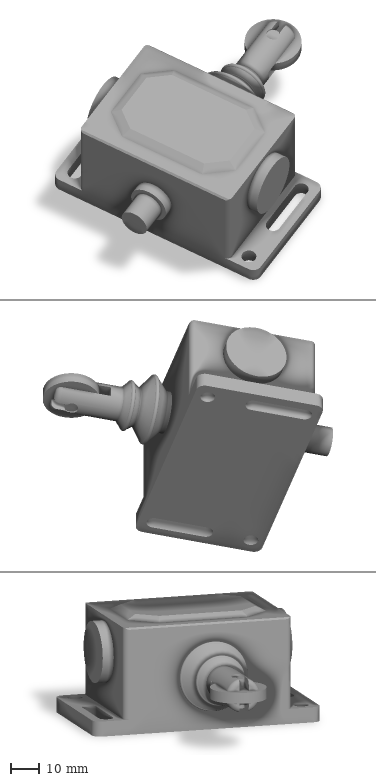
import cadquery as cq
import math


BASE_LENGTH = 84.0
BASE_WIDTH = 46.1
BASE_THICKNESS = 5.4
BASE_CORNER_RADIUS = 3.0
MOUNT_X = 36.0
MOUNT_DIAMETER = 5.2
MOUNT_HOLE_Y = 18.0
MOUNT_SLOT_Y = 7.9
MOUNT_SLOT_LENGTH = 24.2

TOTAL_HEIGHT = 40.0
PAD_HEIGHT = 1.7
HOUSING_LENGTH = 62.0
HOUSING_TOP = TOTAL_HEIGHT - PAD_HEIGHT
HOUSING_HEIGHT = HOUSING_TOP - BASE_THICKNESS
HOUSING_CORNER_RADIUS = 2.0
HOUSING_CHAMFER = 0.6

PAD_LENGTH = 51.3
PAD_WIDTH = 35.3
PAD_LONG_FLAT = 32.9
PAD_SHORT_FLAT = 20.1
PAD_INSET = 3.4

CAP_DIAMETER = 22.0
CAP_THICKNESS = 4.1
CAP_Z = 25.5

AXIS_Z = 20.4

GLAND_DIAMETER = 14.3
GLAND_LENGTH = 3.8
CABLE_DIAMETER = 10.3
CABLE_LENGTH = 9.7

ROLLER_RADIUS = 10.0
ROLLER_THICKNESS = 3.9
ROLLER_Y = 57.8
PIN_DIAMETER = 4.9
PIN_LENGTH = 10.6

PLUNGER_START_Y = 40.4
PLUNGER_TIP_Y = 64.6
PLUNGER_DIAMETER = 12.3
PLUNGER_TIP_FILLET = 1.9
ROLLER_SLOT_END_Y = 45.0
PIN_SLOT_WIDTH = 3.3

BOOT_COLLAR_RADIUS = 7.5
BOOT_COLLAR_END_Y = 24.1
COLLAR_FILLET_RUN = 0.8
COLLAR_FILLET_RISE = 0.4
BIG_FOLD_RADIUS = 12.5
BIG_FOLD_Y = 29.5
BOOT_GROOVE_RADIUS = 7.1
BOOT_GROOVE_Y = 34.3
SMALL_FOLD_RADIUS = 9.1
SMALL_FOLD_Y = 37.3
FOLD_ROUND_HALF_WIDTH = 0.7
FOLD_ROUND_RISE = 0.5
GROOVE_ROUND_HALF_WIDTH = 0.3
GROOVE_ROUND_RISE = 0.16

HOUSING_BACK_Y = BASE_WIDTH / 2
HOUSING_FRONT_Y = -BASE_WIDTH / 2


def cylinder_along_y(diameter, start_y, length):
    """Cylinder on the plunger axis, running towards -Y from start_y."""
    plane = cq.Workplane("XZ", origin=(0, start_y, AXIS_Z))
    return plane.circle(diameter / 2).extrude(length)


def cylinder_at_roller(diameter, length):
    """Upright cylinder on the roller centre, spread evenly about the plunger axis."""
    plane = cq.Workplane("XY", origin=(0, ROLLER_Y, AXIS_Z - length / 2))
    return plane.circle(diameter / 2).extrude(length)


def make_base():
    base = cq.Workplane("XY").rect(BASE_LENGTH, BASE_WIDTH).extrude(BASE_THICKNESS)
    base = base.edges("|Z").fillet(BASE_CORNER_RADIUS)
    for side in (-1, 1):
        hole = cq.Workplane("XY").center(side * MOUNT_X, -side * MOUNT_HOLE_Y)
        slot = cq.Workplane("XY").center(side * MOUNT_X, side * MOUNT_SLOT_Y)
        base = base.cut(hole.circle(MOUNT_DIAMETER / 2).extrude(BASE_THICKNESS))
        base = base.cut(slot.slot2D(MOUNT_SLOT_LENGTH, MOUNT_DIAMETER, 90).extrude(BASE_THICKNESS))
    return base


def make_pad():
    outline = [
        (PAD_LONG_FLAT / 2, PAD_WIDTH / 2),
        (PAD_LENGTH / 2, PAD_SHORT_FLAT / 2),
        (PAD_LENGTH / 2, -PAD_SHORT_FLAT / 2),
        (PAD_LONG_FLAT / 2, -PAD_WIDTH / 2),
        (-PAD_LONG_FLAT / 2, -PAD_WIDTH / 2),
        (-PAD_LENGTH / 2, -PAD_SHORT_FLAT / 2),
        (-PAD_LENGTH / 2, PAD_SHORT_FLAT / 2),
        (-PAD_LONG_FLAT / 2, PAD_WIDTH / 2),
    ]
    slope = math.degrees(math.atan2(PAD_INSET, PAD_HEIGHT))
    plane = cq.Workplane("XY").workplane(offset=HOUSING_TOP)
    return plane.polyline(outline).close().extrude(PAD_HEIGHT, taper=slope)


def make_housing():
    plane = cq.Workplane("XY").workplane(offset=BASE_THICKNESS)
    block = plane.rect(HOUSING_LENGTH, BASE_WIDTH).extrude(HOUSING_HEIGHT)
    rounded = block.edges("|Z").fillet(HOUSING_CORNER_RADIUS)
    chamfered = block.faces(">Z").edges("|X").chamfer(HOUSING_CHAMFER)
    return rounded.intersect(chamfered).union(make_pad())


def make_cap(side):
    plane = cq.Workplane("YZ", origin=(side * HOUSING_LENGTH / 2, 0, CAP_Z))
    return plane.circle(CAP_DIAMETER / 2).extrude(side * CAP_THICKNESS)


def make_gland():
    return cylinder_along_y(GLAND_DIAMETER, HOUSING_FRONT_Y, GLAND_LENGTH)


def make_cable():
    return cylinder_along_y(CABLE_DIAMETER, HOUSING_FRONT_Y - GLAND_LENGTH, CABLE_LENGTH)


def add_fold(profile, radius, y):
    """Continue the profile to a fold and round over its crest."""
    shoulder = radius - FOLD_ROUND_RISE
    profile = profile.lineTo(shoulder, y - FOLD_ROUND_HALF_WIDTH)
    return profile.threePointArc((radius, y), (shoulder, y + FOLD_ROUND_HALF_WIDTH))


def add_groove(profile, radius, y):
    """Continue the profile to a groove and round out its floor."""
    rim = radius + GROOVE_ROUND_RISE
    profile = profile.lineTo(rim, y - GROOVE_ROUND_HALF_WIDTH)
    return profile.threePointArc((radius, y), (rim, y + GROOVE_ROUND_HALF_WIDTH))


def make_boot():
    profile = cq.Workplane("XY").moveTo(0, HOUSING_BACK_Y)
    profile = profile.lineTo(BOOT_COLLAR_RADIUS, HOUSING_BACK_Y)
    profile = profile.lineTo(BOOT_COLLAR_RADIUS, BOOT_COLLAR_END_Y)
    flare_start = (BOOT_COLLAR_RADIUS + COLLAR_FILLET_RISE, BOOT_COLLAR_END_Y + COLLAR_FILLET_RUN)
    profile = profile.tangentArcPoint(flare_start, relative=False)
    profile = add_fold(profile, BIG_FOLD_RADIUS, BIG_FOLD_Y)
    profile = add_groove(profile, BOOT_GROOVE_RADIUS, BOOT_GROOVE_Y)
    profile = add_fold(profile, SMALL_FOLD_RADIUS, SMALL_FOLD_Y)
    profile = profile.lineTo(PLUNGER_DIAMETER / 2, PLUNGER_START_Y)
    profile = profile.lineTo(0, PLUNGER_START_Y)
    return profile.close().revolve(360, (0, 0, 0), (0, 1, 0)).translate((0, 0, AXIS_Z))


def make_plunger():
    plunger = cylinder_along_y(PLUNGER_DIAMETER, PLUNGER_TIP_Y, PLUNGER_TIP_Y - PLUNGER_START_Y)
    plunger = plunger.faces(">Y").edges().fillet(PLUNGER_TIP_FILLET)

    slot_length = PLUNGER_TIP_Y - ROLLER_SLOT_END_Y
    roller_slot = cq.Workplane("XY").box(PLUNGER_DIAMETER, slot_length, ROLLER_THICKNESS)
    roller_slot = roller_slot.translate((0, ROLLER_SLOT_END_Y + slot_length / 2, AXIS_Z))

    entry_length = PLUNGER_TIP_Y - ROLLER_Y
    pin_slot = cq.Workplane("XY").box(PIN_SLOT_WIDTH, entry_length, PLUNGER_DIAMETER)
    pin_slot = pin_slot.translate((0, ROLLER_Y + entry_length / 2, AXIS_Z))

    pin_hole = cylinder_at_roller(PIN_DIAMETER, PLUNGER_DIAMETER)
    return plunger.cut(roller_slot).cut(pin_slot).cut(pin_hole)


def make_roller():
    bore = cylinder_at_roller(PIN_DIAMETER, ROLLER_THICKNESS)
    return cylinder_at_roller(2 * ROLLER_RADIUS, ROLLER_THICKNESS).cut(bore)


def make_pin():
    return cylinder_at_roller(PIN_DIAMETER, PIN_LENGTH)


base = make_base()
housing = make_housing()
caps = [make_cap(side) for side in (-1, 1)]
gland = make_gland()
cable = make_cable()
boot = make_boot()
plunger = make_plunger()
roller = make_roller()
pin = make_pin()

result = cq.Compound.makeCompound([
    base.val(),
    housing.val(),
    *[cap.val() for cap in caps],
    gland.val(),
    cable.val(),
    boot.val(),
    plunger.val(),
    roller.val(),
    pin.val(),
])